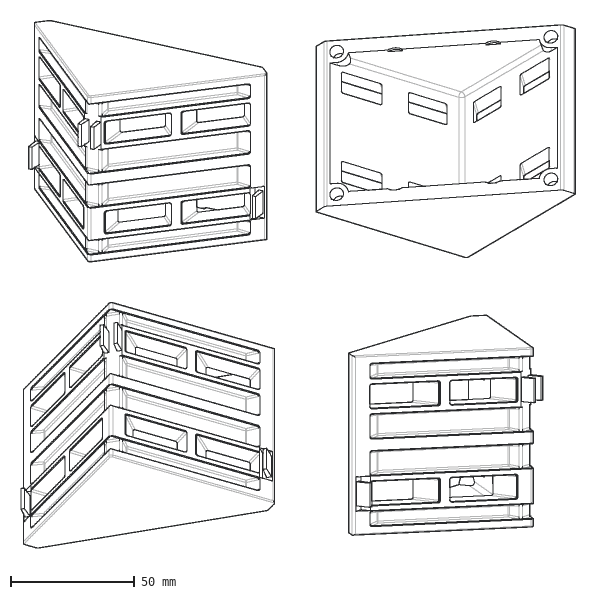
import cadquery as cq
import math


LEG = 76.0
HEIGHT = 74.0
END_WIDTH = 6.95
CORNER_RADIUS = 1.2
SLANT_CORNER_RADIUS = 2.0
RIM_RADIUS = 0.55

WALL = 8.4
CAVITY_HEIGHT = 62.1
CAVITY_RADIUS = 1.75

BOSS_RADIUS = 4.9
SCREW_DIAMETER = 5.6
SCREW_DEPTH = 8.0
SCREW_SPACING = 88.0
SCREW_Z = 31.9

SCALLOP_RADIUS = 5.8
SCALLOP_SPACING = 40.15
SCALLOP_TOP = 31.8
SCALLOP_DEPTH = 1.6

POCKET_START = -68.7
POCKET_DEPTH = 4.15
POCKET_DRAFT = 0.5
POCKET_RADIUS = 0.7
LIP_FLARE = 0.3
WIDE_POCKET_Z = 7.6
WIDE_POCKET_HEIGHT = 9.9
NARROW_POCKET_Z = 30.4
NARROW_POCKET_HEIGHT = 6.0

CORNER_CUT = 5.35
RIB_TIP_RADIUS = 1.0

ROW_Z = 20.0
WINDOW_HEIGHT = 9.75
WINDOW_DRAFT = 0.2
WINDOW_RADIUS = 0.7
END_WINDOW = (-68.7, -39.5, -48.55)
UPPER_CORNER_WINDOW = (-35.2, -7.0, -16.1)
LOWER_CORNER_WINDOW = (-35.2, -7.0, -15.0)

TAB_HEIGHT = 9.9
TAB_REACH = 4.0
TAB_TIP_X = -1.1
TAB_TIP_SIDE = 1.0
TAB_ROOT_X = -6.15
TAB_ROOT_DEPTH = 0.8
TAB_ROOT_SIDE = 1.5
TAB_SPACING = 68.55
NOTCH_START = -74.6
NOTCH_DEPTH = 3.0
NOTCH_HEIGHT = 14.15


def prism(points, height, z_centre=0.0):
    """Upright prism centred on a height."""
    outline = cq.Workplane("XY").polyline(points).close()
    return outline.extrude(height / 2, both=True).translate((0, 0, z_centre))


def mirrored(shape):
    """The same feature on the other leg."""
    return shape.mirror(cq.Vector(1, 1, 0), (0, 0, 0))


def channel(height, depth, draft, z_centre):
    """Long channel along X, entered from y = 0, with drafted sides."""
    mouth = height / 2
    floor = mouth - draft
    section = [(0, mouth), (depth, floor), (depth, -floor), (0, -mouth)]
    sides = cq.Workplane("YZ").polyline(section).close().extrude(LEG, both=True)
    return sides.translate((0, 0, z_centre))


def lip(start, end, height, radius, z_centre):
    """Flare of 45 degrees around the mouth of an opening, on every side but its straight start."""
    length = end - start + LIP_FLARE
    flare = cq.Workplane("XY").box(length, 2 * LIP_FLARE, height + 2 * LIP_FLARE)
    flare = flare.edges("|Y").fillet(radius + LIP_FLARE)
    flare = flare.faces(">Y").chamfer(LIP_FLARE)
    return flare.translate((start + length / 2, 0, z_centre))


def slant_plane():
    """Plane of the slanted face; local X runs along the slant and Z points outward."""
    middle = (LEG + END_WIDTH) / 2
    return cq.Workplane(cq.Plane((-middle, middle, 0), xDir=(1, 1, 0), normal=(-1, 1, 0)))


def round_corners(block, corners, radius):
    """Rounds the upright edges nearest to the given corners."""
    for x, y in corners:
        block = block.edges(cq.selectors.NearestToPointSelector((x, y, 0))).fillet(radius)
    return block


def body():
    size = 2 * LEG
    block = cq.Workplane("XY").box(size, size, HEIGHT).translate((-LEG, LEG, 0))
    block = block.edges("|Z and >X and <Y").fillet(CORNER_RADIUS)
    block = block.faces(">Z or <Z").edges("<Y").fillet(RIM_RADIUS)
    end_corners = [(-LEG, 0), (0, LEG)]
    slant_corners = [(-END_WIDTH, LEG), (-LEG, END_WIDTH)]
    outline = prism([end_corners[0], (0, 0), end_corners[1], *slant_corners], HEIGHT)
    outline = round_corners(outline, end_corners, CORNER_RADIUS)
    outline = round_corners(outline, slant_corners, SLANT_CORNER_RADIUS)
    return outline.intersect(block)


def cavity():
    far = 2 * LEG
    hollow = prism([(-far, WALL), (-WALL, WALL), (-WALL, far)], CAVITY_HEIGHT)
    return hollow.faces("<Y or >X").edges().fillet(CAVITY_RADIUS)


def bosses():
    """Posts around the screw holes, squared off toward the free ends and filling the cavity behind them."""
    width = 2 * BOSS_RADIUS
    round_part = slant_plane().rect(SCREW_SPACING, 2 * SCREW_Z, forConstruction=True).vertices()
    round_part = round_part.circle(BOSS_RADIUS).extrude(-LEG)
    square_part = slant_plane().rect(SCREW_SPACING + width, 2 * SCREW_Z, forConstruction=True).vertices()
    square_part = square_part.rect(width, width).extrude(-LEG)
    return round_part.union(square_part)


def screw_holes():
    holes = slant_plane().rect(SCREW_SPACING, 2 * SCREW_Z, forConstruction=True).vertices()
    return holes.circle(SCREW_DIAMETER / 2).extrude(-SCREW_DEPTH)


def rim_scallops():
    z = SCALLOP_TOP - SCALLOP_RADIUS
    scallops = slant_plane().rect(SCALLOP_SPACING, 2 * z, forConstruction=True).vertices()
    return scallops.circle(SCALLOP_RADIUS).extrude(-SCALLOP_DEPTH)


def pocket(height, z_centre):
    """Blind pocket with 45 degree ends whose far end runs out on the truncated corner."""
    profile = [
        (POCKET_START, 0),
        (POCKET_START + POCKET_DEPTH, POCKET_DEPTH),
        (-CORNER_CUT - POCKET_DEPTH, POCKET_DEPTH),
        (-CORNER_CUT, 0),
    ]
    sides = channel(height, POCKET_DEPTH, POCKET_DRAFT, z_centre)
    cutter = prism(profile, HEIGHT).intersect(sides)
    cutter = cutter.faces("<X or >X or >Y").edges("not <Y").fillet(POCKET_RADIUS)
    return cutter.union(lip(POCKET_START, -CORNER_CUT, height, POCKET_RADIUS, z_centre))


def rib_tip(height, z_centre):
    """Sliver that rounds the sharp edge between the slanted end of a pocket and the truncated corner."""
    tangent = RIB_TIP_RADIUS / math.sqrt(2)
    crown = RIB_TIP_RADIUS * (math.sqrt(2) - 1)
    outline = cq.Workplane("XY").moveTo(-CORNER_CUT - tangent, 0).lineTo(-CORNER_CUT - tangent, tangent)
    outline = outline.threePointArc((-CORNER_CUT, crown), (-CORNER_CUT + tangent, tangent))
    sliver = outline.lineTo(-CORNER_CUT + tangent, 0).close().extrude(HEIGHT / 2, both=True)
    return sliver.intersect(channel(height, POCKET_DEPTH, 0, z_centre))


def corner_cut(bottom, top):
    """Truncates the leg corner between two heights, with flared lips on both outer faces."""
    wedge = prism([(-CORNER_CUT, 0), (0, 0), (0, CORNER_CUT)], HEIGHT)
    height = top - bottom
    z_centre = (bottom + top) / 2
    flare = wedge.intersect(channel(height + 2 * LIP_FLARE, LIP_FLARE, LIP_FLARE, z_centre))
    cut = wedge.intersect(channel(height, LEG, 0, z_centre))
    cut = cut.faces("<(1, -1, 0)").edges("#Z").fillet(POCKET_RADIUS)
    return cut.union(flare).union(mirrored(flare))


def window(span, z_centre):
    """Opening through a leg, straight at its start and slanted at its far end."""
    start, outer_end, inner_end = span
    profile = [(start, 0), (outer_end, 0), (inner_end, WALL), (start, WALL)]
    sides = channel(WINDOW_HEIGHT, WALL, WINDOW_DRAFT, z_centre)
    cutter = prism(profile, HEIGHT).intersect(sides)
    cutter = cutter.faces("<X or >X").edges("not(<Y or >Y)").fillet(WINDOW_RADIUS)
    return cutter.union(lip(start, outer_end, WINDOW_HEIGHT, WINDOW_RADIUS, z_centre))


def notch():
    """Vee recess that clears the tab at the free end of a leg."""
    profile = [(NOTCH_START, 0), (NOTCH_START + NOTCH_DEPTH, NOTCH_DEPTH), (NOTCH_START + 2 * NOTCH_DEPTH, 0)]
    return prism(profile, NOTCH_HEIGHT, -ROW_Z)


def tab(shift, z_centre):
    """Tapered tab leaning at 45 degrees out of a leg; at zero shift it stands on the truncated corner."""
    profile = [
        (TAB_ROOT_X, TAB_ROOT_DEPTH),
        (TAB_TIP_X, -TAB_REACH),
        (TAB_TIP_X + TAB_TIP_SIDE, TAB_TIP_SIDE - TAB_REACH),
        (TAB_ROOT_X + TAB_ROOT_SIDE, TAB_ROOT_DEPTH + TAB_ROOT_SIDE),
    ]
    return prism([(x + shift, y) for x, y in profile], TAB_HEIGHT, z_centre)


result = body().cut(cavity().cut(bosses()))
result = result.cut(screw_holes()).cut(rim_scallops())

leg_cutters = [notch(), window(END_WINDOW, ROW_Z), window(END_WINDOW, -ROW_Z)]
leg_cutters += [window(UPPER_CORNER_WINDOW, ROW_Z), window(LOWER_CORNER_WINDOW, -ROW_Z)]
for side in (-1, 1):
    for height, z in ((WIDE_POCKET_HEIGHT, WIDE_POCKET_Z), (NARROW_POCKET_HEIGHT, NARROW_POCKET_Z)):
        leg_cutters.append(pocket(height, side * z))
        leg_cutters.append(rib_tip(height, side * z))
leg_cutters += [mirrored(cutter) for cutter in leg_cutters]
result = cq.Workplane(result.val().cut(*[cutter.val() for cutter in leg_cutters]))

wide_inner = WIDE_POCKET_Z - WIDE_POCKET_HEIGHT / 2
wide_outer = WIDE_POCKET_Z + WIDE_POCKET_HEIGHT / 2
narrow_inner = NARROW_POCKET_Z - NARROW_POCKET_HEIGHT / 2
narrow_outer = NARROW_POCKET_Z + NARROW_POCKET_HEIGHT / 2
cut_spans = [(wide_inner, narrow_outer), (-wide_outer, -wide_inner), (-narrow_outer, -narrow_inner)]
for bottom, top in cut_spans:
    result = result.cut(corner_cut(bottom, top))

for shape in (tab(0, ROW_Z), tab(-TAB_SPACING, -ROW_Z)):
    result = result.union(shape).union(mirrored(shape))
result = cq.Workplane(result.solids().val())